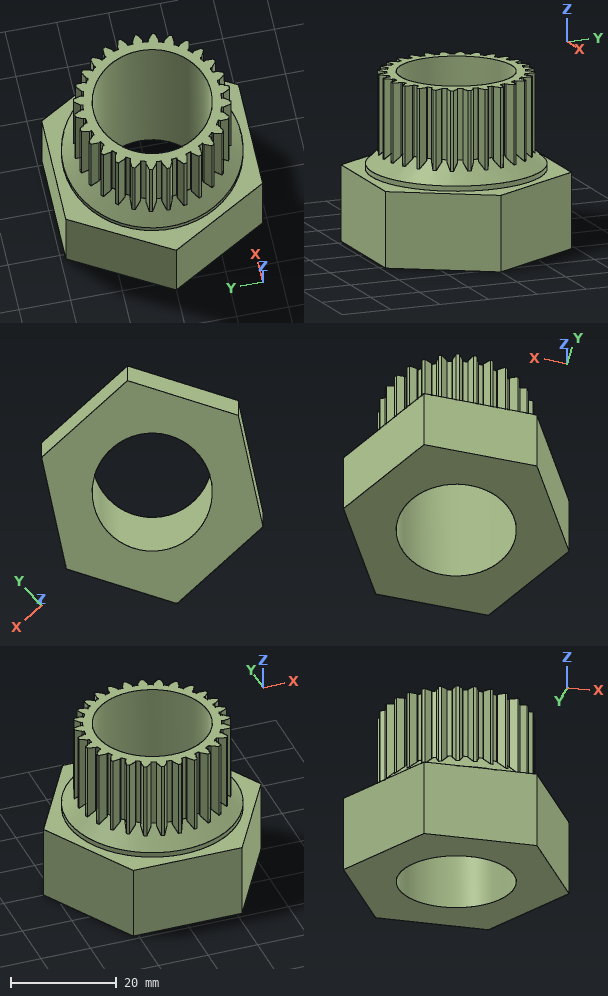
import cadquery as cq
import math

hex_sides = 6
hex_across_corners = 44.0
hex_height = 15.0

collar_radius = 17.2
collar_rim_height = 1.0
collar_taper = 4.05

total_height = 34.0
tooth_count = 28
tip_radius = 14.9
flank_start_radius = 13.55
root_radius = collar_radius - collar_taper
tip_width = 0.6
base_width = 2.02

bore_diameter = 22.7


def flank_point(radius, width):
    """Point on the upper flank of the tooth that lies along +X."""
    half_width = width / 2
    return math.sqrt(radius**2 - half_width**2), half_width


def mirrored(point):
    """Matching point on the lower flank of the same tooth."""
    return point[0], -point[1]


def make_tooth():
    """One tooth as tall as the part: sloping flanks, with radial sides below them down to the axis."""
    base = flank_point(flank_start_radius, base_width)
    tip = flank_point(tip_radius, tip_width)
    return (
        cq.Workplane("XY")
        .moveTo(0, 0)
        .lineTo(*mirrored(base))
        .lineTo(*mirrored(tip))
        .threePointArc((tip_radius, 0), tip)
        .lineTo(*base)
        .close()
        .extrude(total_height)
    )


def make_body():
    """Hexagon, collar and plain sleeve up to the tooth roots."""
    base = cq.Workplane("XY").polygon(hex_sides, hex_across_corners).extrude(hex_height)
    rim_top = hex_height + collar_rim_height
    turned = (
        cq.Workplane("XZ")
        .lineTo(collar_radius, 0)
        .lineTo(collar_radius, rim_top)
        .lineTo(root_radius, rim_top + collar_taper)
        .lineTo(root_radius, total_height)
        .lineTo(0, total_height)
        .close()
        .revolve(360, (0, 0, 0), (0, 1, 0))
    )
    return base.union(turned)


result = make_body()
tooth = make_tooth()
for index in range(tooth_count):
    angle = index * 360 / tooth_count
    result = result.union(tooth.rotate((0, 0, 0), (0, 0, 1), angle))

bore = cq.Workplane("XY").circle(bore_diameter / 2).extrude(total_height)
result = result.cut(bore)